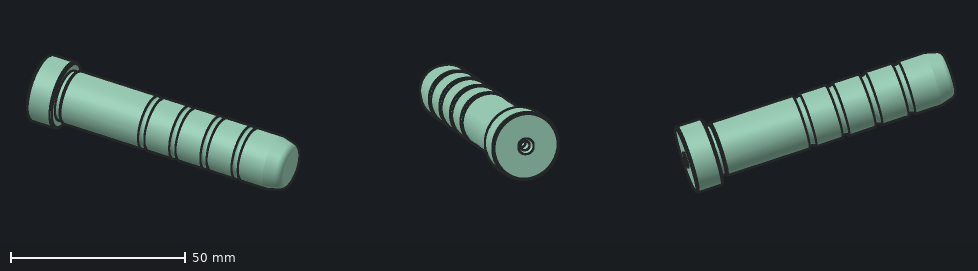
import cadquery as cq
import math

total_length = 80.0
shaft_diameter = 16.0
shaft_radius = shaft_diameter / 2

head_diameter = 20.0
head_length = 8.0
head_chamfer = 0.5

neck_diameter = 15.0
neck_length = 2.0
neck_angle = 45.0

groove_count = 4
first_groove_x = 35.9
groove_pitch = 10.0
groove_width = 2.0
groove_depth = 0.7

lead_in_length = 5.0
lead_in_angle = 15.0
tip_fillet = 2.0

countersink_diameter = 4.6
countersink_angle = 90.0
center_hole_diameter = 2.7
center_hole_depth = 4.8
drill_point_angle = 120.0


def cone_length(radius_change, included_angle):
    """Axial length over which a cone changes its radius by the given amount."""
    return radius_change / math.tan(math.radians(included_angle / 2))


def revolve_about_axis(profile):
    """Revolve a closed XY profile a full turn about the X axis."""
    return profile.close().revolve(360, (0, 0, 0), (1, 0, 0))


def make_head():
    head = cq.Workplane("YZ").circle(head_diameter / 2).extrude(head_length)
    return head.faces("<X or >X").edges().chamfer(head_chamfer)


def make_shaft():
    neck_radius = neck_diameter / 2
    neck_end = head_length + neck_length
    neck_cone = cone_length(shaft_radius - neck_radius, 2 * neck_angle)
    tip_radius = shaft_radius - lead_in_length * math.tan(math.radians(lead_in_angle))
    profile = (
        cq.Workplane("XY")
        .moveTo(0, 0)
        .lineTo(0, neck_radius)
        .lineTo(neck_end - neck_cone, neck_radius)
        .lineTo(neck_end, shaft_radius)
        .lineTo(total_length - lead_in_length, shaft_radius)
        .lineTo(total_length, tip_radius)
        .lineTo(total_length, 0)
    )
    return revolve_about_axis(profile).faces(">X").edges().fillet(tip_fillet)


def make_groove(center_x):
    """Ring with an arc-shaped bottom, closed along the shaft surface."""
    profile = (
        cq.Workplane("XY")
        .moveTo(center_x - groove_width / 2, shaft_radius)
        .threePointArc(
            (center_x, shaft_radius - groove_depth),
            (center_x + groove_width / 2, shaft_radius),
        )
    )
    return revolve_about_axis(profile)


def make_center_hole():
    mouth_radius = countersink_diameter / 2
    hole_radius = center_hole_diameter / 2
    countersink_depth = cone_length(mouth_radius - hole_radius, countersink_angle)
    point_length = cone_length(hole_radius, drill_point_angle)
    profile = (
        cq.Workplane("XY")
        .moveTo(0, 0)
        .lineTo(0, mouth_radius)
        .lineTo(countersink_depth, hole_radius)
        .lineTo(center_hole_depth, hole_radius)
        .lineTo(center_hole_depth + point_length, 0)
    )
    return revolve_about_axis(profile)


result = make_head().union(make_shaft())
for groove_index in range(groove_count):
    result = result.cut(make_groove(first_groove_x + groove_index * groove_pitch))
result = result.cut(make_center_hole())